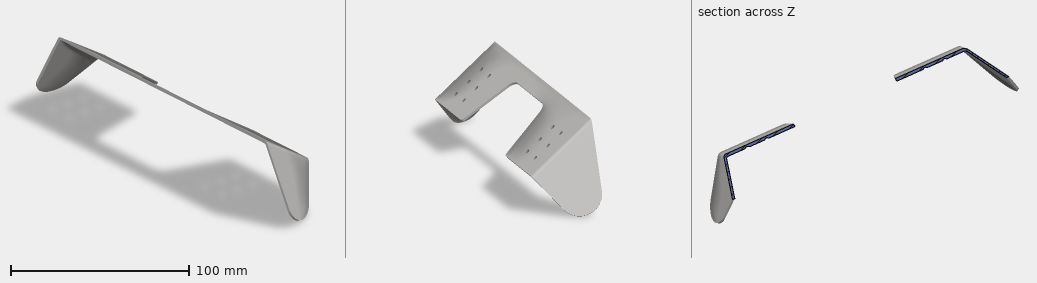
import cadquery as cq
import math

overall_width = 194.1
depth = 36.0
thickness = 1.5
tilt = 40.0

bend_angle = 60.0
inner_bend_radius = 1.45
flange_reach = 36.5

front_strip = 10.5
notch_bottom_half = 24.8
notch_mouth_half = 35.0
notch_bottom_radius = 6.8
notch_mouth_radius = 2.0

hole_diameter = 3.0
hole_columns = 2
hole_rows = 3
outer_hole_x = 63.7
column_pitch = 12.6
row_pitch = 9.9
back_row_inset = 9.7

tilt_rad = math.radians(tilt)
bend_rad = math.radians(bend_angle)
plate_length = depth / math.cos(tilt_rad)
outer_bend_radius = inner_bend_radius + thickness
bend_run = outer_bend_radius * math.sin(bend_rad)
bend_drop = outer_bend_radius * (1 - math.cos(bend_rad))
plate_half = overall_width / 2 - bend_run - flange_reach * math.cos(bend_rad)
front_overrun = thickness * math.tan(tilt_rad)


def make_plate():
    length = plate_length + front_overrun
    plate = cq.Workplane("XY").box(2 * plate_half, length, thickness, centered=(True, False, False))
    return plate.translate((0, -front_overrun, -thickness))


def make_bend():
    """Ring sector joining the plate to the +X flange."""
    def ring_point(radius, angle):
        return (plate_half + radius * math.sin(angle), radius * math.cos(angle) - outer_bend_radius)

    sector = (
        cq.Workplane("XZ", origin=(0, plate_length, 0))
        .moveTo(*ring_point(outer_bend_radius, 0))
        .threePointArc(ring_point(outer_bend_radius, bend_rad / 2), ring_point(outer_bend_radius, bend_rad))
        .lineTo(*ring_point(inner_bend_radius, bend_rad))
        .threePointArc(ring_point(inner_bend_radius, bend_rad / 2), ring_point(inner_bend_radius, 0))
        .close()
    )
    return sector.extrude(plate_length + front_overrun)


def make_flange():
    """+X flange: a tapering tongue whose round tip is tangent to both long edges."""
    front_start = bend_drop * math.tan(tilt_rad)
    taper = math.sin(bend_rad) * math.tan(tilt_rad)
    taper_angle = math.atan(taper)
    tip_radius = (plate_length - front_start - taper * flange_reach) / (1 + 1 / math.cos(taper_angle) - taper)
    centre_x = flange_reach - tip_radius
    centre_y = plate_length - tip_radius
    front_tangent = (
        centre_x + tip_radius * math.sin(taper_angle),
        centre_y - tip_radius * math.cos(taper_angle),
    )
    outer_face = cq.Plane(
        origin=(plate_half + bend_run, 0, -bend_drop),
        xDir=(math.cos(bend_rad), 0, -math.sin(bend_rad)),
        normal=(math.sin(bend_rad), 0, math.cos(bend_rad)),
    )
    return (
        cq.Workplane(outer_face)
        .moveTo(0, front_start - front_overrun)
        .lineTo(front_tangent[0], front_tangent[1] - front_overrun)
        .lineTo(*front_tangent)
        .threePointArc((flange_reach, centre_y), (centre_x, plate_length))
        .lineTo(0, plate_length)
        .close()
        .extrude(-thickness)
    )


def make_notch():
    notch = (
        cq.Workplane("XY")
        .polyline([
            (-notch_bottom_half, front_strip),
            (notch_bottom_half, front_strip),
            (notch_mouth_half, plate_length),
            (-notch_mouth_half, plate_length),
        ])
        .close()
        .extrude(-thickness)
    )
    return notch.edges("|Z and <Y").fillet(notch_bottom_radius)


def make_holes():
    points = []
    for side in (-1, 1):
        for column in range(hole_columns):
            for row in range(hole_rows):
                x = side * (outer_hole_x - column * column_pitch)
                points.append((x, plate_length - back_row_inset - row * row_pitch))
    return cq.Workplane("XY").pushPoints(points).circle(hole_diameter / 2).extrude(-thickness)


def round_notch_mouth(plate):
    margin = 0.2
    mouth = cq.selectors.BoxSelector(
        (-notch_mouth_half - margin, plate_length - margin, -thickness - margin),
        (notch_mouth_half + margin, plate_length + margin, margin),
    )
    return plate.edges("|Z").edges(mouth).fillet(notch_mouth_radius)


plate = round_notch_mouth(make_plate().cut(make_notch())).cut(make_holes())
side = make_bend().union(make_flange())
bracket = plate.union(side).union(side.mirror("YZ"))
bracket = bracket.rotate((0, 0, 0), (1, 0, 0), -tilt)

front_waste = cq.Workplane("XY").box(2 * overall_width, overall_width, 2 * overall_width)
result = bracket.cut(front_waste.translate((0, -overall_width / 2, 0)))